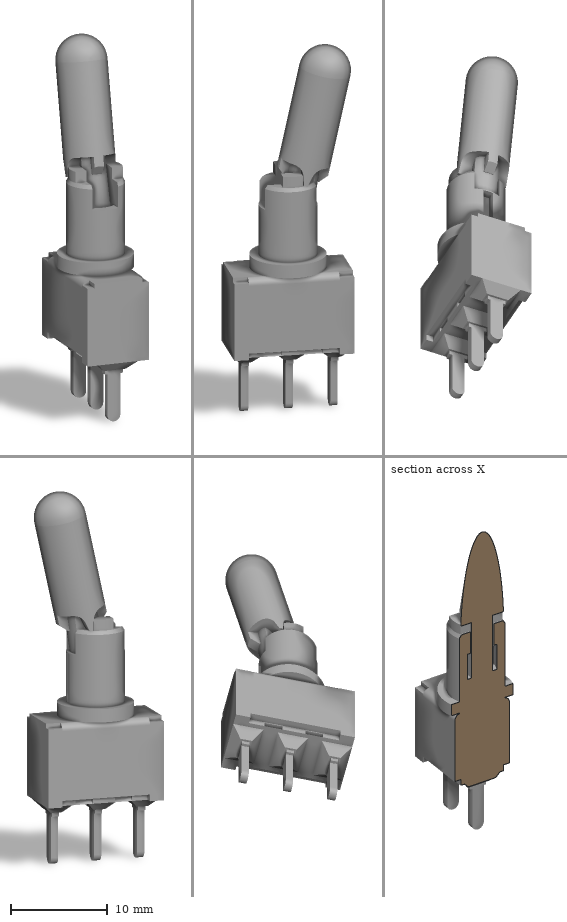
import cadquery as cq
import math

overall_height = 39.3

housing_length = 12.65
housing_width = 6.85
housing_bottom = 6.6
housing_top = 15.45
edge_radius = 0.75
corner_step_depth = 0.47
rounded_length = 9.6

notch_height = 0.7
notch_depth = 0.75
pocket_length = 1.9
pocket_offset = 2.15
pocket_height = 0.6
pocket_depth = 1.18
pocket_sill_height = 0.28

pin_pitch = 4.7
pin_thickness = 0.8
pin_width = 1.4
pin_tip_radius = 0.499 * pin_width
shoulder_width = 2.0
shoulder_bottom = 5.15
skirt_height = 1.0
skirt_tip_x = 1.25
skirt_tip_y = 2.45

collar_diameter = 8.0
collar_top = 16.85
bushing_diameter = 6.13
bushing_top = 24.9
bushing_chamfer_height = 0.4
bushing_chamfer_width = 0.25
slot_width = 2.85
slot_floor = 22.25
bore_diameter = 4.2
bore_floor = 19.25
stop_length = 2.1
stop_top = 26.1
keyway_width = 1.05
keyway_floor_x = -2.12
keyway_top = 22.12

tilt_angle = 12.3
dome_center_x = -3.9

handle_diameter = 5.42
stem_base_diameter = 4.2
stem_top_diameter = 3.38
stem_width = 2.67
lobe_bottom = 6.33
lobe_half_width = 0.2
lobe_flank_angle = 15.0
arch_radius = 1.2
arch_top = 8.33
rib_bottom = 6.4
rib_chamfer = 0.85

handle_radius = handle_diameter / 2
stem_base_radius = stem_base_diameter / 2
bushing_radius = bushing_diameter / 2
rim_radius = bushing_radius - bushing_chamfer_width
dome_center_z = overall_height - handle_radius
pivot_z = dome_center_z + dome_center_x / math.tan(math.radians(tilt_angle))
dome_offset = -dome_center_x / math.sin(math.radians(tilt_angle))


def block(x_size, y_size, z_low, z_high):
    """Box centred on the Z axis between two heights."""
    return cq.Workplane("XY").workplane(offset=z_low).rect(x_size, y_size).extrude(z_high - z_low)


def cylinder(radius, z_low, z_high):
    """Upright cylinder on the Z axis between two heights."""
    return cq.Workplane("XY").workplane(offset=z_low).circle(radius).extrude(z_high - z_low)


def make_pocket():
    """Pocket tool, symmetric in Y so that it serves both long sides."""
    half_profile = (
        cq.Workplane("YZ")
        .moveTo(0, housing_bottom)
        .lineTo(notch_depth, housing_bottom)
        .lineTo(pocket_depth, housing_bottom + pocket_sill_height)
        .lineTo(pocket_depth, housing_bottom + pocket_height)
        .lineTo(0, housing_bottom + pocket_height)
        .close()
    )
    half = half_profile.extrude(pocket_length / 2, both=True)
    return half.union(half.mirror("XZ"))


def make_housing():
    """Case with stepped corners, two rounded top edges and notched lower edges."""
    step_floor = housing_top - corner_step_depth
    housing = block(housing_length, housing_width, housing_bottom, step_floor)
    housing = housing.union(
        block(housing_length, housing_width - 2 * edge_radius, step_floor, housing_top)
    )
    rounded = block(rounded_length, housing_width, housing_bottom, housing_top)
    rounded = rounded.edges("|X and >Z").fillet(edge_radius)
    housing = housing.cut(block(rounded_length, housing_width, housing_bottom, housing_top))
    housing = housing.union(rounded)
    notch_top = housing_bottom + notch_height
    notch = block(rounded_length, 2 * notch_depth, housing_bottom, notch_top)
    pocket = make_pocket()
    for y in (-housing_width / 2, housing_width / 2):
        housing = housing.cut(notch.translate((0, y, 0)))
        for x in (-pocket_offset, pocket_offset):
            housing = housing.cut(pocket.translate((x, y, 0)))
    return housing


def make_terminal():
    """Pin with a shoulder and a tapered sealing skirt."""
    skirt = (
        cq.Workplane("XY")
        .workplane(offset=housing_bottom - skirt_height)
        .rect(skirt_tip_x, skirt_tip_y)
        .workplane(offset=skirt_height)
        .rect(skirt_tip_x + 2 * skirt_height, skirt_tip_y + 2 * skirt_height)
        .loft(combine=True)
    )
    shoulder = block(pin_thickness, shoulder_width, shoulder_bottom, housing_bottom)
    pin = block(pin_thickness, pin_width, 0, housing_bottom)
    pin = pin.edges("|X and <Z").fillet(pin_tip_radius)
    return skirt.union(shoulder).union(pin)


def make_bushing():
    """Collar and slotted barrel with two lever stops on the rim."""
    collar = cylinder(collar_diameter / 2, housing_top, collar_top)
    barrel = (
        cq.Workplane("XZ")
        .moveTo(0, housing_top)
        .lineTo(bushing_radius, housing_top)
        .lineTo(bushing_radius, bushing_top - bushing_chamfer_height)
        .lineTo(rim_radius, bushing_top)
        .lineTo(0, bushing_top)
        .close()
        .revolve(360, (0, 0, 0), (0, 1, 0))
    )
    stops = cylinder(rim_radius, bushing_top, stop_top)
    stops = stops.intersect(block(stop_length, bushing_diameter, bushing_top, stop_top))
    slot = block(bushing_diameter, slot_width, slot_floor, stop_top)
    bore = cylinder(bore_diameter / 2, bore_floor, slot_floor)
    return collar.union(barrel).union(stops).cut(slot).cut(bore)


def make_arch_cut():
    """Region removed under the +X side of the handle, next to the middle lobe."""
    flank_spread = (arch_top - lobe_bottom) * math.tan(math.radians(lobe_flank_angle))
    corner_x = lobe_half_width + flank_spread
    cut = (
        cq.Workplane("XZ")
        .moveTo(lobe_half_width, lobe_bottom)
        .lineTo(corner_x, arch_top)
        .lineTo(handle_diameter, arch_top)
        .lineTo(handle_diameter, lobe_bottom)
        .close()
        .extrude(handle_diameter, both=True)
    )
    corner = cq.NearestToPointSelector((corner_x, 0, arch_top))
    return cut.edges("|Y").edges(corner).fillet(arch_radius)


def make_lever():
    """Tilted handle with a domed end, arched bottom, tapered flat-sided stem and cross rib."""
    handle = cylinder(handle_radius, lobe_bottom, dome_offset)
    arch_cut = make_arch_cut()
    handle = handle.cut(arch_cut).cut(arch_cut.mirror("YZ"))
    dome = cq.Workplane("XY").sphere(handle_radius).translate((0, 0, dome_offset))

    stem = (
        cq.Workplane("XY")
        .circle(stem_base_radius)
        .workplane(offset=arch_top)
        .circle(stem_top_diameter / 2)
        .loft(combine=True)
    )
    stem = stem.intersect(block(2 * stem_base_diameter, stem_width, 0, arch_top))

    rib = block(handle_diameter, keyway_width, rib_bottom, dome_offset)
    rib = rib.edges("|Y and <Z").chamfer(rib_chamfer)
    rib = rib.intersect(cylinder(handle_radius, rib_bottom, dome_offset))

    lever = handle.union(dome).union(stem).union(rib)
    return lever.rotate((0, 0, 0), (0, 1, 0), -tilt_angle).translate((0, 0, pivot_z))


def make_keyway_cut():
    """Upright groove in the -X side of the bushing, from the collar to just under the slot."""
    keyway = block(bushing_radius, keyway_width, collar_top, keyway_top)
    return keyway.translate((keyway_floor_x - bushing_radius / 2, 0, 0))


result = make_housing().union(make_bushing()).union(make_lever())
for index in (-1, 0, 1):
    result = result.union(make_terminal().translate((index * pin_pitch, 0, 0)))

result = result.cut(make_keyway_cut())